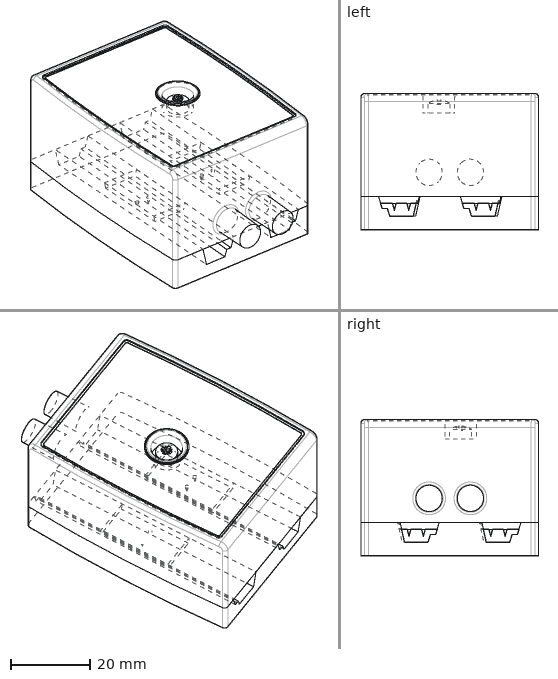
import cadquery as cq
import math

body_length = 60.0
total_length = 70.0
middle_width = 44.95
end_width = 43.0
total_height = 34.5
base_height = 8.5
end_top_radius = 2.0
edge_radius = 1.0

recess_length = 54.3
recess_middle_width = 41.45
recess_depth = 0.4
recess_corner_radius = 1.0
label_gap = 0.6
label_thickness = 0.15
label_corner_radius = 0.5
label_hole_diameter = 11.3

well_y = 2.7
collar_diameter = 10.65
well_diameter = 8.0
well_mouth_radius = 1.0
well_depth = 4.9

head_diameter = 5.6
head_rim_height = 2.4
head_dome_height = 0.85
cross_span = 3.15
cross_bottom_span = 0.9
cross_width = 0.85
cross_depth = 1.1
tick_reach = 1.3
tick_width = 0.15
tick_depth = 0.3

outlet_pitch = 10.4
outlet_z = 14.55
outlet_root_diameter = 7.0
outlet_tip_diameter = 6.65
outlet_fillet = 0.6

channel_corner_y = 7.5
channel_pitch = 20.65
channel_count = 2
channel_floor_z = 3.5
channel_ledge_z = 5.45
channel_top_width = 10.5
ledge_outer_y = 9.6
ledge_inner_y = 8.25
floor_outer_y = 7.6
floor_inner_y = 1.1
channel_narrowing = 0.6

tongue_length = 20.0
tongue_bottom_z = 6.7
spike_offsets = (2.9, 6.5)
spike_tip_z = 4.9
spike_diameter = 1.0

cover_height = total_height - base_height
recess_floor_z = total_height - recess_depth
well_floor_z = total_height - well_depth
channel_starts = [channel_corner_y - i * channel_pitch for i in range(channel_count)]

side_bulge = (middle_width - end_width) / 2
side_radius = (body_length**2 / 4 + side_bulge**2) / (2 * side_bulge)


def barrel_prism(length, width, bottom_z, height, bow_radius):
    """Prism with flat ends and two outward-bowed long sides; width is taken at the middle."""
    half_length = length / 2
    half_middle = width / 2
    half_end = half_middle - bow_radius + math.sqrt(bow_radius**2 - half_length**2)
    return (
        cq.Workplane("XY", origin=(0, 0, bottom_z))
        .moveTo(-half_length, -half_end)
        .threePointArc((0, -half_middle), (half_length, -half_end))
        .lineTo(half_length, half_end)
        .threePointArc((0, half_middle), (-half_length, half_end))
        .close()
        .extrude(height)
    )


def cylinder_on_well(diameter, bottom_z, height):
    return cq.Workplane("XY", origin=(0, well_y, bottom_z)).circle(diameter / 2).extrude(height)


def channel_outline(start_y, narrowing):
    """Stepped trapezoid of one channel; narrowing moves its -Y wall inward."""
    return [
        (start_y + narrowing, base_height),
        (start_y + floor_inner_y + narrowing, channel_floor_z),
        (start_y + floor_outer_y, channel_floor_z),
        (start_y + ledge_inner_y, channel_ledge_z),
        (start_y + ledge_outer_y, channel_ledge_z),
        (start_y + channel_top_width, base_height),
    ]


def channel_space(start_y):
    """Space of one cable channel, narrowing from the -X end to the +X end."""
    return (
        cq.Workplane("YZ", origin=(-body_length / 2, 0, 0))
        .polyline(channel_outline(start_y, 0))
        .close()
        .workplane(offset=body_length)
        .polyline(channel_outline(start_y, channel_narrowing))
        .close()
        .loft(ruled=True)
    )


def make_tongue(start_y):
    """Block filling the middle of a channel's top, with its spikes pointing down."""
    block = (
        cq.Workplane("XY", origin=(0, 0, tongue_bottom_z))
        .rect(tongue_length, middle_width)
        .extrude(base_height - tongue_bottom_z)
    )
    tongue = channel_space(start_y).intersect(block)
    for offset in spike_offsets:
        spike = cq.Solid.makeCone(
            spike_diameter / 2,
            0,
            tongue_bottom_z - spike_tip_z,
            pnt=cq.Vector(0, start_y + offset, tongue_bottom_z),
            dir=cq.Vector(0, 0, -1),
        )
        tongue = tongue.union(cq.Workplane(spike))
    return tongue


def make_outlet(y):
    """Tapered round outlet on the +X end, flared into the wall at its root."""
    root = outlet_root_diameter / 2
    tip = outlet_tip_diameter / 2
    reach = total_length - body_length
    arc_middle = outlet_fillet * (1 - math.sqrt(0.5))
    return (
        cq.Workplane("XY", origin=(body_length / 2, y, outlet_z))
        .lineTo(0, root + outlet_fillet)
        .threePointArc((arc_middle, root + arc_middle), (outlet_fillet, root))
        .lineTo(reach, tip)
        .lineTo(reach, 0)
        .close()
        .revolve(360, (0, 0, 0), (1, 0, 0))
    )


def make_cover():
    cover = barrel_prism(body_length, middle_width, base_height, cover_height, side_radius)
    cover = cover.faces(">Z").edges("|Y").fillet(end_top_radius)
    cover = cover.faces("<X or >X").edges("|Z").fillet(edge_radius)

    well = cylinder_on_well(well_diameter, well_floor_z, well_depth)
    cover = cover.cut(well)
    rim = cq.selectors.RadiusNthSelector(0)
    cover = cover.faces(">Z").edges("%CIRCLE").edges(rim).fillet(well_mouth_radius)

    recess = barrel_prism(recess_length, recess_middle_width, recess_floor_z, recess_depth, side_radius)
    recess = recess.edges("|Z").fillet(recess_corner_radius)
    collar = cylinder_on_well(collar_diameter, recess_floor_z, recess_depth)
    cover = cover.cut(recess.cut(collar))

    for y in (-outlet_pitch / 2, outlet_pitch / 2):
        cover = cover.union(make_outlet(y))
    for start_y in channel_starts:
        cover = cover.union(make_tongue(start_y))
    return cover


def make_base():
    base = barrel_prism(body_length, middle_width, 0, base_height, side_radius)
    base = base.edges("|Z").fillet(edge_radius)
    for start_y in channel_starts:
        base = base.cut(channel_space(start_y))
    return base


def make_label():
    label = barrel_prism(
        recess_length - 2 * label_gap,
        recess_middle_width - 2 * label_gap,
        recess_floor_z,
        label_thickness,
        side_radius - label_gap,
    )
    label = label.edges("|Z").fillet(label_corner_radius)
    return label.cut(cylinder_on_well(label_hole_diameter, recess_floor_z, label_thickness))


def make_screw():
    """Domed screw head resting on the floor of the well."""
    head_radius = head_diameter / 2
    head_height = head_rim_height + head_dome_height
    top_z = well_floor_z + head_height
    dome_radius = (head_radius**2 + head_dome_height**2) / (2 * head_dome_height)
    middle_x = head_radius / 2
    middle_z = head_height - dome_radius + math.sqrt(dome_radius**2 - middle_x**2)
    screw = (
        cq.Workplane("XZ", origin=(0, well_y, well_floor_z))
        .lineTo(head_radius, 0)
        .lineTo(head_radius, head_rim_height)
        .threePointArc((middle_x, middle_z), (0, head_height))
        .close()
        .revolve(360, (0, 0, 0), (0, 1, 0))
    )
    for angle in (0, 90):
        slot = (
            cq.Workplane("XZ")
            .polyline([
                (-cross_span / 2, 0),
                (cross_span / 2, 0),
                (cross_bottom_span / 2, -cross_depth),
                (-cross_bottom_span / 2, -cross_depth),
            ])
            .close()
            .extrude(cross_width / 2, both=True)
            .rotate((0, 0, 0), (0, 0, 1), angle)
            .translate((0, well_y, top_z))
        )
        tick = (
            cq.Workplane("XY")
            .box(2 * tick_reach, tick_width, 2 * tick_depth)
            .rotate((0, 0, 0), (0, 0, 1), angle + 45)
            .translate((0, well_y, top_z))
        )
        screw = screw.cut(slot).cut(tick)
    return screw


cover = make_cover()
base = make_base()
label = make_label()
screw = make_screw()

result = cq.Compound.makeCompound([cover.val(), base.val(), label.val(), screw.val()])